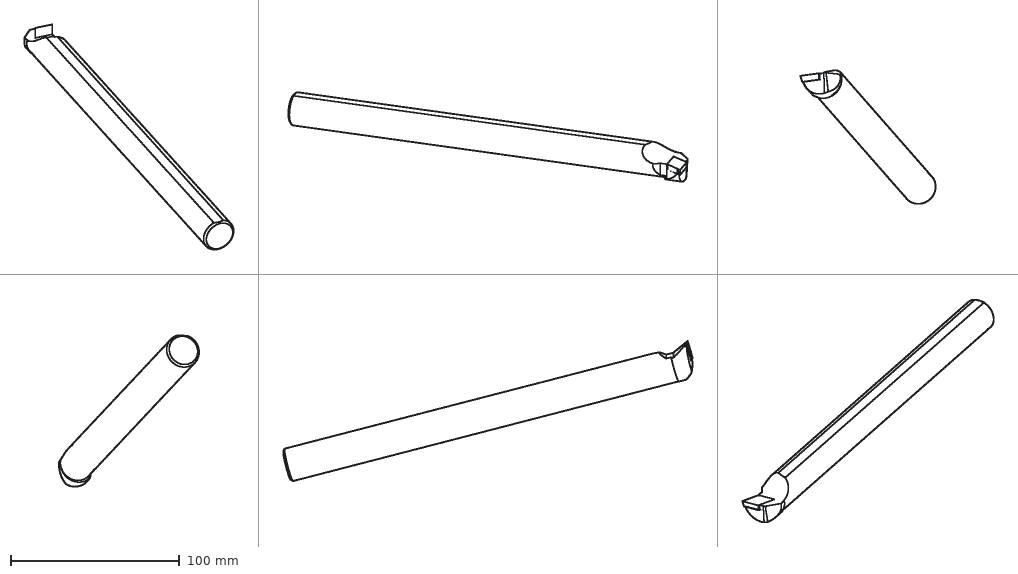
import cadquery as cq
import math

length = 250.0
shank_radius = 10.0
flat_height = 9.5
end_chamfer = 1.2

head_radius = 10.7
head_center_y = head_radius - shank_radius
head_center_z = -0.2
head_end = 11.5
face_top_x = 0.87
face_bottom_x = 1.7
bevel_end_x = 8.0
facet_start_y = -1.7
facet_angle = 10.0

tip_y = 12.5
tip_z = 0.5
rake_angle = 4.0

insert_thickness = 3.7
insert_relief = 7.0
insert_length = 10.2
insert_front_y = 1.2
insert_back_y = -3.7
insert_back_top_y = 7.37

scoop_angle = 19.0
scoop_start_x = 12.0
scoop_radius = 13.0
side_wall_y = 7.5
side_wall_end_x = 14.5
side_ramp_end_x = 18.2

over = 2 * head_radius


def on_rake_plane(shape):
    """Tilt and place a shape whose local origin is the cutting tip."""
    return shape.rotate((0, 0, 0), (1, 0, 0), -rake_angle).translate((0, tip_y, tip_z))


def make_insert():
    """Rhombic insert, wider at its top than at its seat."""
    outline = [
        (0, 0),
        (0, insert_front_y - tip_y),
        (insert_length, insert_back_y - tip_y),
        (insert_length, insert_back_top_y - tip_y),
    ]
    plate = cq.Workplane("XY").polyline(outline).close()
    plate = plate.extrude(-insert_thickness, taper=insert_relief)
    return on_rake_plane(plate)


def make_shank():
    """Round bar with a chamfered rear end and a long flat along its top."""
    shank = cq.Workplane("YZ").workplane(offset=head_end).circle(shank_radius)
    shank = shank.extrude(length - head_end).faces(">X").chamfer(end_chamfer)
    above_flat = cq.Workplane("XY").workplane(offset=flat_height)
    above_flat = above_flat.rect(3 * length, 2 * over).extrude(over)
    return shank.cut(above_flat)


def make_head():
    """Round head with a relieved front face, a narrow facet and a 45 degree bevel."""
    head = cq.Workplane("YZ").center(head_center_y, head_center_z).circle(head_radius)
    head = head.extrude(head_end)

    head_bottom = head_center_z - head_radius
    slope = (face_bottom_x - face_top_x) / (tip_z - head_bottom)
    front = (
        cq.Workplane("XZ")
        .moveTo(face_top_x - slope * over, tip_z + over)
        .lineTo(face_bottom_x + slope * over, head_bottom - over)
        .lineTo(-over, head_bottom - over)
        .lineTo(-over, tip_z + over)
        .close()
        .extrude(over, both=True)
    )
    bevel_run = bevel_end_x + over
    bevel = (
        cq.Workplane("XY")
        .moveTo(-over, bevel_run - shank_radius)
        .lineTo(bevel_end_x + over, -shank_radius - over)
        .lineTo(-over, -shank_radius - over)
        .close()
        .extrude(over, both=True)
    )
    pivot = (face_top_x, facet_start_y, 0)
    pivot_top = (face_top_x, facet_start_y, 1)
    facet = front.rotate(pivot, pivot_top, facet_angle)
    facet_side = (
        cq.Workplane("XY")
        .box(2 * over, over, 2 * over)
        .translate((0, facet_start_y - over / 2, 0))
    )
    return head.cut(front).cut(bevel).cut(facet.intersect(facet_side))


def make_scoop():
    """Space over the rake plane, ended by a concave ramp that runs obliquely across the bar."""
    arc_middle = (
        scoop_radius * math.sin(math.pi / 4),
        scoop_radius * (1 - math.cos(math.pi / 4)),
    )
    scoop = (
        cq.Workplane("XZ")
        .moveTo(-over, 0)
        .lineTo(0, 0)
        .threePointArc(arc_middle, (scoop_radius, scoop_radius))
        .lineTo(-over, scoop_radius)
        .close()
        .extrude(2 * over, both=True)
        .rotate((0, 0, 0), (0, 0, 1), -scoop_angle)
        .translate((scoop_start_x, -tip_y, 0))
    )
    return on_rake_plane(scoop)


def make_side_relief():
    """Full-depth clearance on the +Y side, from the insert edge back into the shank."""
    return (
        cq.Workplane("XY")
        .moveTo(0, tip_y)
        .lineTo(insert_length, side_wall_y)
        .lineTo(side_wall_end_x, side_wall_y)
        .lineTo(side_ramp_end_x, shank_radius)
        .lineTo(side_ramp_end_x, tip_y)
        .close()
        .extrude(over, both=True)
    )


insert = make_insert()
holder = make_shank().union(make_head())
holder = holder.cut(make_scoop()).cut(make_side_relief()).cut(insert)

result = cq.Compound.makeCompound([holder.val(), insert.val()])